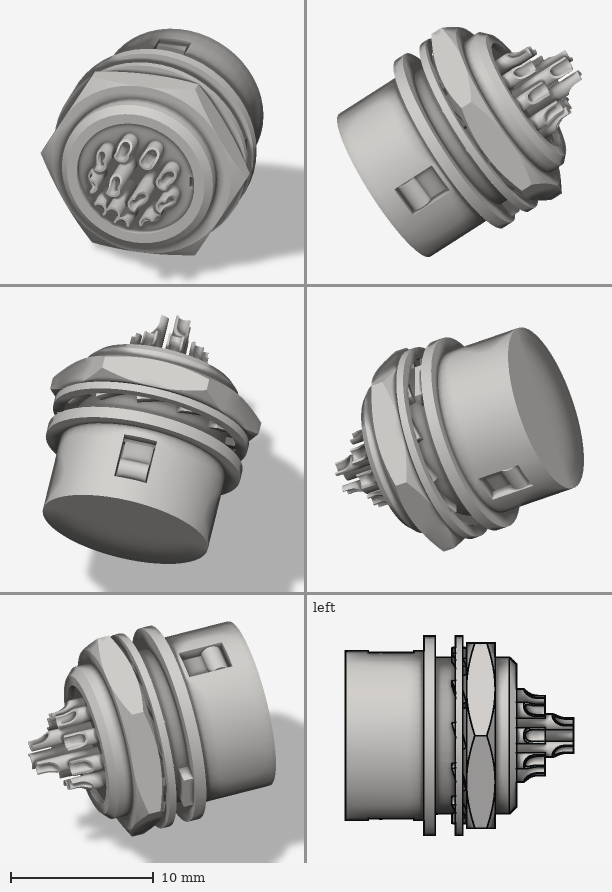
import cadquery as cq
import math

total_length = 16.0
mating_end_y = total_length / 2

cup_diameter = 11.9
cup_length = 5.5
flange_diameter = 14.0
flange_thickness = 0.8
body_diameter = 11.0
body_end_chamfer = 0.5
flange_back_y = mating_end_y - cup_length
flange_front_y = flange_back_y - flange_thickness
solder_end_y = -4.0

recess_diameter = 8.56
recess_depth = 0.5
key_slot_width = 0.85
key_slot_height = 0.5
key_slot_depth = 0.5

tab_inner_x = 5.35
tab_outer_x = 6.51
tab_width = 2.8
tab_length = 0.7

window_width = 2.35
window_length = 3.2
window_setback = 1.6
latch_width = 2.05
latch_gap = 0.16
latch_length = 2.78
latch_level = 5.14
latch_roll_radius = 0.72
ledge_level = 5.04
slit_level = 4.48

nut_across_flats = 13.0
nut_thickness = 2.0
nut_chamfer_angle = 30.0
nut_back_y = -0.5
nut_front_y = nut_back_y - nut_thickness

washer_thickness = 0.53
washer_gap = 0.25
washer_inner_diameter = 12.4
tooth_count = 12
tooth_span = 18.0
tooth_lead_angle = 279.0
washer_front_y = nut_back_y + washer_gap

contact_diameter = 1.12
contact_bore_diameter = 0.8
contact_bore_depth = 2.0
scoop_length = 1.5
scoop_radius = 1.2
outer_contact_count = 9
outer_contact_circle_radius = 2.75
outer_contact_end_y = -6.0
inner_contact_count = 3
inner_contact_circle_radius = 1.1
inner_contact_end_y = mating_end_y - total_length


def disc(diameter, front_y, length):
    """Cylinder on the Y axis, from front_y towards +Y."""
    return cq.Workplane("XZ", origin=(0, front_y, 0)).circle(diameter / 2).extrude(-length)


def make_shell():
    cup = disc(cup_diameter, flange_back_y, cup_length)
    flange = disc(flange_diameter, flange_front_y, flange_thickness)
    body = disc(body_diameter, solder_end_y, flange_front_y - solder_end_y)
    body = body.faces("<Y").chamfer(body_end_chamfer)
    recess = disc(recess_diameter, solder_end_y, recess_depth)
    recess_floor_y = solder_end_y + recess_depth
    key_slot = cq.Workplane("XY").box(
        key_slot_height, key_slot_depth, key_slot_width, centered=(False, False, True)
    )
    key_slot = key_slot.translate((recess_diameter / 2 - key_slot_height, recess_floor_y, 0))
    tab = cq.Workplane("XY").box(
        tab_outer_x - tab_inner_x, tab_length, tab_width, centered=(False, False, True)
    )
    tab = tab.translate((tab_inner_x, flange_front_y - tab_length, 0))
    return cup.union(flange).union(body).union(tab).cut(recess).cut(key_slot)


def make_latch_window():
    """Empty space of the upper window: a pocket and slits around the latch and its half-round roll."""
    window_back_y = mating_end_y - window_setback
    latch_back_y = window_back_y - latch_gap
    pocket = cq.Workplane("XY", origin=(0, window_back_y - window_length / 2, ledge_level))
    pocket = pocket.rect(window_width, window_length).extrude(cup_diameter / 2 - ledge_level)
    slit_length = latch_length + latch_gap
    slit = cq.Workplane("XY", origin=(0, window_back_y - slit_length / 2, slit_level))
    slit = slit.rect(window_width, slit_length).extrude(ledge_level - slit_level)
    latch = cq.Workplane("XY", origin=(0, latch_back_y - latch_length / 2, slit_level))
    latch = latch.rect(latch_width, latch_length).extrude(latch_level - slit_level)
    roll = cq.Workplane("YZ", origin=(-latch_width / 2, latch_back_y - latch_roll_radius, latch_level))
    roll = roll.circle(latch_roll_radius).extrude(latch_width)
    return pocket.union(slit).cut(latch).cut(roll)


def make_nut():
    across_corners = nut_across_flats / math.cos(math.radians(30))
    hexagon = cq.Workplane("XZ", origin=(0, nut_front_y, 0)).polygon(6, across_corners)
    hexagon = hexagon.extrude(-nut_thickness)
    face_radius = nut_across_flats / 2
    middle_y = (nut_front_y + nut_back_y) / 2
    middle_radius = face_radius + nut_thickness / 2 / math.tan(math.radians(nut_chamfer_angle))
    chamfer_cones = (
        cq.Workplane("XY")
        .moveTo(0, nut_front_y)
        .lineTo(face_radius, nut_front_y)
        .lineTo(middle_radius, middle_y)
        .lineTo(face_radius, nut_back_y)
        .lineTo(0, nut_back_y)
        .close()
        .revolve(360, (0, 0, 0), (0, 1, 0))
    )
    return hexagon.intersect(chamfer_cones)


def make_lock_washer():
    """Flat ring whose inner teeth are twisted to stand out on both sides."""
    middle_y = washer_front_y + washer_thickness / 2
    inner_radius = washer_inner_diameter / 2
    ring = disc(flange_diameter, washer_front_y, washer_thickness)
    ring = ring.cut(disc(washer_inner_diameter, washer_front_y, washer_thickness))
    tooth_length = 2 * inner_radius * math.sin(math.radians(tooth_span / 2))
    tooth_slope = math.degrees(math.atan(2 * washer_gap / tooth_length))
    teeth_bounds = disc(washer_inner_diameter, nut_back_y, washer_thickness + 2 * washer_gap)
    for i in range(tooth_count):
        angle = tooth_lead_angle - tooth_span / 2 + i * 360 / tooth_count
        tooth = (
            cq.Workplane("XY")
            .box(inner_radius + washer_gap, washer_thickness, tooth_length, centered=(False, True, True))
            .rotate((0, 0, 0), (1, 0, 0), tooth_slope)
            .translate((0, middle_y, 0))
            .rotate((0, 0, 0), (0, 1, 0), angle)
        )
        ring = ring.union(tooth.intersect(teeth_bounds))
    return ring


def make_contact(end_y):
    """Contact on the Y axis, with its solder cup scooped open towards +X."""
    contact = disc(contact_diameter, end_y, solder_end_y + recess_depth - end_y)
    bore = disc(contact_bore_diameter, end_y, contact_bore_depth)
    radius = contact_diameter / 2
    arc_length = math.sqrt(scoop_radius**2 - (scoop_radius - radius) ** 2)
    arc_start_y = end_y + scoop_length - arc_length
    half_arc = math.asin(arc_length / scoop_radius) / 2
    arc_middle = (
        scoop_radius * (1 - math.cos(half_arc)),
        arc_start_y + scoop_radius * math.sin(half_arc),
    )
    scoop = (
        cq.Workplane("XY", origin=(0, 0, -radius))
        .moveTo(0, end_y)
        .lineTo(0, arc_start_y)
        .threePointArc(arc_middle, (radius, end_y + scoop_length))
        .lineTo(radius, end_y)
        .close()
        .extrude(contact_diameter)
    )
    return contact.cut(bore).cut(scoop)


def add_contacts(part, count, circle_radius, end_y, first_angle):
    """Ring of contacts whose cups open away from the connector axis."""
    contact = make_contact(end_y).translate((circle_radius, 0, 0))
    for i in range(count):
        angle = first_angle + i * 360 / count
        part = part.union(contact.rotate((0, 0, 0), (0, 1, 0), angle))
    return part


upper_window = make_latch_window()
lower_window = upper_window.mirror("XY")

result = make_shell().cut(upper_window).cut(lower_window)
result = result.union(make_nut()).union(make_lock_washer())
result = add_contacts(result, outer_contact_count, outer_contact_circle_radius, outer_contact_end_y, 180)
result = add_contacts(result, inner_contact_count, inner_contact_circle_radius, inner_contact_end_y, 0)